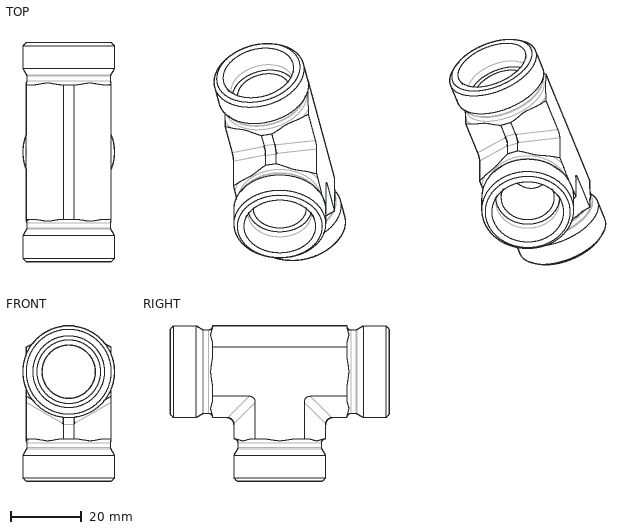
import cadquery as cq
import math


across_flats = 24.0
body_height = 26.0
junction_radius = 2.0

port_length = 31
collar_diameter = 26.0
collar_start = 23.6
collar_chamfer = 1.0
neck_diameter = 23.7
body_end = 19.0
root_fillet = 1.1
collar_fillet = 0.6
back_cone_angle = 30

bore_diameter = 15.0
tube_diameter = 18
tube_depth = 7.5
mouth_diameter = 20.3
mouth_half_angle = 12

cone_slope = math.tan(math.radians(back_cone_angle))
neck_radius = neck_diameter / 2
collar_radius = collar_diameter / 2
neck_end = collar_start - (collar_radius - neck_radius) / cone_slope
neck_middle = (body_end + root_fillet + neck_end) / 2
mouth_depth = (mouth_diameter - tube_diameter) / 2 / math.tan(math.radians(mouth_half_angle))
port_angles = (0, 90, -90)


def on_each_axis(arm):
    """Copy a solid built along -Z onto all three port axes and join the copies."""
    copies = [arm.rotate((0, 0, 0), (1, 0, 0), angle) for angle in port_angles]
    return copies[0].union(copies[1]).union(copies[2])


def turned(profile):
    """Revolve a closed profile, drawn on XZ as (radius, z), about the Z axis."""
    return profile.close().revolve(360, (0, 0, 0), (0, 1, 0))


def hexagonal_arm():
    """Hexagonal bar with its two Y corners cut flat."""
    corner_diameter = across_flats / math.cos(math.radians(30))
    bar = cq.Workplane("XY").polygon(6, corner_diameter).extrude(-neck_middle)
    bar = bar.rotate((0, 0, 0), (0, 0, 1), 30)
    return bar.intersect(cq.Workplane("XY").box(across_flats, body_height, 2 * neck_middle))


def is_junction_edge(edge):
    """True for the inside edges where branch and run meet, on the planes Y = Z and Y = -Z."""
    tolerance = 0.0005
    ends = (edge.startPoint(), edge.endPoint())
    on_mitre = all(abs(abs(p.y) + p.z) < tolerance for p in ends)
    return on_mitre and all(abs(p.y) > tolerance for p in ends)


def forged_body():
    body = on_each_axis(hexagonal_arm())
    junction = [edge for edge in body.edges().vals() if is_junction_edge(edge)]
    return body.newObject(junction).fillet(junction_radius)


def body_end_trim():
    """Ring that cuts the body end square and rounds it down to the neck."""
    outer_radius = across_flats
    trim_end = neck_middle + root_fillet
    profile = (
        cq.Workplane("XZ")
        .moveTo(outer_radius, -body_end)
        .lineTo(neck_radius + root_fillet, -body_end)
        .radiusArc((neck_radius, -body_end - root_fillet), -root_fillet)
        .lineTo(neck_radius, -trim_end)
        .lineTo(outer_radius, -trim_end)
    )
    return turned(profile)


def port():
    """Neck, back cone and chamfered collar."""
    blend = collar_fillet * math.tan(math.radians(back_cone_angle / 2))
    blend_rise = collar_fillet * (1 - math.cos(math.radians(back_cone_angle)))
    blend_start = (neck_radius, -neck_end + blend)
    blend_end = (neck_radius + blend_rise, -neck_end - blend_rise / cone_slope)
    profile = (
        cq.Workplane("XZ")
        .moveTo(0, -neck_middle)
        .lineTo(neck_radius, -neck_middle)
        .lineTo(*blend_start)
        .radiusArc(blend_end, -collar_fillet)
        .lineTo(collar_radius, -collar_start)
        .lineTo(collar_radius, -port_length + collar_chamfer)
        .lineTo(collar_radius - collar_chamfer, -port_length)
        .lineTo(0, -port_length)
    )
    return turned(profile)


def bore():
    """Flow bore, tube socket and tapered mouth."""
    profile = (
        cq.Workplane("XZ")
        .lineTo(bore_diameter / 2, 0)
        .lineTo(bore_diameter / 2, -port_length + tube_depth)
        .lineTo(tube_diameter / 2, -port_length + tube_depth)
        .lineTo(tube_diameter / 2, -port_length + mouth_depth)
        .lineTo(mouth_diameter / 2, -port_length)
        .lineTo(0, -port_length)
    )
    return turned(profile)


result = forged_body()
result = result.cut(on_each_axis(body_end_trim()))
result = result.union(on_each_axis(port()))
result = result.cut(on_each_axis(bore()))